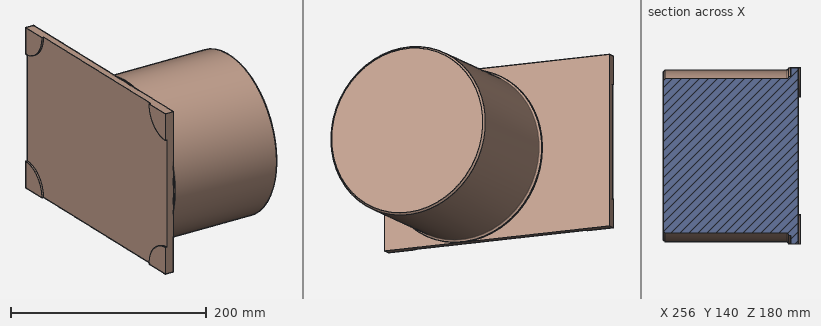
import cadquery as cq

plate_length = 256.0
plate_height = 180.0
plate_thickness = 8.0

pad_radius = 30.0
pad_thickness = 2.0

total_depth = 140.0
flange_radius = plate_height / 2
flange_thickness = 2.0
root_fillet = 2.0
drum_radius = flange_radius - root_fillet
rim_chamfer = 2.0

drum_x = plate_length / 2 - flange_radius
plate_front = pad_thickness
plate_back = plate_front + plate_thickness


def make_plate():
    return cq.Workplane("XY").box(
        plate_length, plate_thickness, plate_height, centered=(True, False, True)
    ).translate((0, plate_front, 0))


def make_corner_pads():
    corners = (
        cq.Workplane("XZ")
        .rect(plate_length, plate_height, forConstruction=True)
        .vertices()
        .circle(pad_radius)
        .extrude(-pad_thickness)
    )
    outline = cq.Workplane("XZ").rect(plate_length, plate_height).extrude(-pad_thickness)
    return corners.intersect(outline)


def make_drum():
    flange_back = plate_back + flange_thickness
    fillet_end = flange_back + root_fillet
    profile = (
        cq.Workplane("XY")
        .moveTo(0, plate_back)
        .lineTo(flange_radius, plate_back)
        .lineTo(flange_radius, flange_back)
        .radiusArc((drum_radius, fillet_end), root_fillet)
        .lineTo(drum_radius, total_depth - rim_chamfer)
        .lineTo(drum_radius - rim_chamfer, total_depth)
        .lineTo(0, total_depth)
        .close()
    )
    return profile.revolve(360, (0, 0, 0), (0, 1, 0)).translate((drum_x, 0, 0))


result = make_plate().union(make_corner_pads()).union(make_drum())